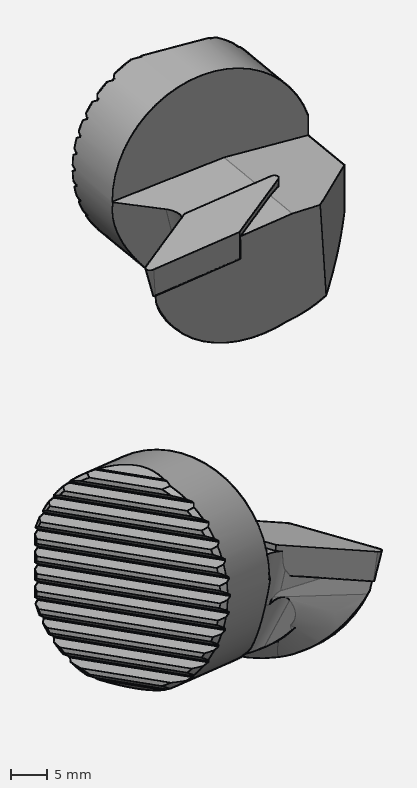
import cadquery as cq
import math

disc_radius = 16.0
disc_back_x = 11.88
flat_y = 15.1
rim_chamfer = 0.75

tooth_count = 12
tooth_pitch = 2.498
groove_depth = 1.4
groove_root_half = 0.092
groove_flank_angle = 30.0
edge_bevel_depth = 2.9

fold_y = 1.75
fold_z = 2.15
top_tilt = 7.4
end_x = 30.97
end_angle = 4.3
end_relief = 7.1
corner_cut = 8.75
corner_x = 22.0

wing_center_y = -3.5
wing_center_z = 1.48
wing_radius = 18.25
cone_apex_x = 19.72
cone_axis_y = -5.0
cone_axis_z = -6.3
heel_start_x = 25.97
heel_slope = 1.1
heel_angle = 57.0

insert_rise = 0.92
insert_thickness = 4.6
insert_corner = (22.57, -10.6)
insert_side_length = 16.45
insert_side_angle = 93.2
insert_edge_length = 16.43
insert_edge_angle = -52.0
insert_tip_radius = 0.75
insert_relief = 7.0

gullet_floor_x = 20.9
gullet_floor_y = -10.3
gullet_radius = 4.07
gullet_wall_angles = (36.8, 48.7)
gullet_lean = 13.3

lower_gullet_floor_x = 21.35
lower_gullet_floor_y = -12.85
lower_gullet_radius = 3.8
lower_gullet_wall_angles = (39.0, 63.0)
lower_gullet_lean = 29.3

reach = 55.5


def tilted_plane(rise):
    """Plane parallel to the sloping arm face; its origin lies on X = 0 at the fold line."""
    tilt = math.radians(top_tilt)
    return cq.Plane(
        origin=(0, fold_y, fold_z + rise),
        xDir=(1, 0, 0),
        normal=(0, -math.sin(tilt), math.cos(tilt)),
    )


def on_tilted_plane(point):
    """Plan position (X, Y) in the local coordinates of the tilted plane."""
    return (point[0], (point[1] - fold_y) / math.cos(math.radians(top_tilt)))


def step(point, length, angle):
    """Point at a distance and direction from another one."""
    return (
        point[0] + length * math.cos(math.radians(angle)),
        point[1] + length * math.sin(math.radians(angle)),
    )


def make_flat_trim():
    """Everything on the body side of the flat."""
    return cq.Workplane("XY").box(2 * reach, reach, 2 * reach).translate((0, flat_y - reach / 2, 0))


def make_disc():
    disc = cq.Workplane("YZ").circle(disc_radius).extrude(disc_back_x)
    return disc.intersect(make_flat_trim()).faces("<X").chamfer(rim_chamfer)


def make_serrations():
    """Grooves between the teeth, plus the bevels outside the outermost teeth."""
    flank_run = groove_depth * math.tan(math.radians(groove_flank_angle))
    mouth_half = groove_root_half + flank_run
    groove = (
        cq.Workplane("XZ")
        .polyline([
            (0, -mouth_half),
            (groove_depth, -groove_root_half),
            (groove_depth, groove_root_half),
            (0, mouth_half),
        ])
        .close()
        .extrude(reach, both=True)
    )
    last_groove = tooth_count // 2
    edge_z = last_groove * tooth_pitch
    bevel = (
        cq.Workplane("XZ")
        .polyline([
            (0, edge_z - mouth_half),
            (groove_depth, edge_z - groove_root_half),
            (groove_depth, edge_z + groove_root_half),
            (edge_bevel_depth, disc_radius),
            (0, disc_radius),
        ])
        .close()
        .extrude(reach, both=True)
    )
    tool = bevel.union(bevel.mirror("XY"))
    for index in range(1 - last_groove, last_groove):
        tool = tool.union(groove.translate((0, 0, index * tooth_pitch)))
    return tool


def make_gullet(floor_x, floor_y, radius, wall_angles, lean):
    """Rounded V groove open toward -Y, cut through along an axis leaning toward +Y as it goes down."""
    left, right = (math.radians(angle) for angle in wall_angles)
    left_tangent = (floor_x - radius * math.sin(left), radius * math.cos(left) - radius)
    right_tangent = (floor_x + radius * math.sin(right), radius * math.cos(right) - radius)
    tilt = math.radians(lean)
    section = cq.Plane(
        origin=(0, floor_y, 0),
        xDir=(1, 0, 0),
        normal=(0, -math.sin(tilt), math.cos(tilt)),
    )
    return (
        cq.Workplane(section)
        .moveTo(*step(left_tangent, reach, 180 + wall_angles[0]))
        .lineTo(*left_tangent)
        .threePointArc((floor_x, 0), right_tangent)
        .lineTo(*step(right_tangent, reach, -wall_angles[1]))
        .close()
        .extrude(reach, both=True)
    )


def make_top_trim():
    """Everything under the folded top of the arm."""
    drop = (reach + fold_y) * math.tan(math.radians(top_tilt))
    return (
        cq.Workplane("YZ")
        .polyline([
            (-reach, fold_z - drop),
            (fold_y, fold_z),
            (reach, fold_z),
            (reach, -reach),
            (-reach, -reach),
        ])
        .close()
        .extrude(reach)
    )


def make_end_trim():
    """Everything behind the relieved end face and the cut corner."""
    across = math.tan(math.radians(end_angle))
    front_x = end_x + across * (reach + fold_y)
    corner_y = flat_y - corner_cut
    plan = [
        (-reach, -reach),
        (front_x, -reach),
        (end_x - across * (corner_y - fold_y), corner_y),
        (corner_x, flat_y),
        (-reach, flat_y),
    ]
    corner_trim = cq.Workplane("XY", origin=(0, 0, -reach)).polyline(plan).close().extrude(2 * reach)
    end_plane = cq.Plane(
        origin=(end_x, fold_y, fold_z),
        xDir=(-across, 1, 0),
        normal=(1, across, -math.tan(math.radians(end_relief))),
    )
    ahead = cq.Workplane(end_plane).rect(4 * reach, 4 * reach).extrude(reach)
    return corner_trim.cut(ahead)


def insert_vertices():
    near = insert_corner
    rear_tip = step(near, insert_side_length, insert_side_angle)
    far = step(rear_tip, insert_edge_length, insert_edge_angle)
    front_tip = step(near, insert_edge_length, insert_edge_angle)
    return near, rear_tip, far, front_tip


def make_insert():
    """Rhombic cutting insert with relieved sides and rounded tips."""
    vertices = [on_tilted_plane(point) for point in insert_vertices()]
    plate = cq.Workplane("XY").polyline(vertices).close().extrude(0.37)
    tips = plate.edges("|Z").edges(">Y or <Y").fillet(insert_tip_radius)
    outline = tips.faces("<Z").wires().val().moved(cq.Location(tilted_plane(insert_rise)))
    return (
        cq.Workplane(tilted_plane(insert_rise))
        .add(outline)
        .toPending()
        .extrude(-insert_thickness, taper=insert_relief)
    )


def make_half_cone(apex_x, slope):
    """Lower half of a cone about the X axis, opening toward +X."""
    length = reach - apex_x
    return (
        cq.Workplane("XY")
        .polyline([(apex_x, 0), (reach, 0), (reach, -length * slope)])
        .close()
        .revolve(180, (0, 0, 0), (1, 0, 0))
    )


def make_wing():
    """Round backing of the insert, with its flank parallel to the cutting edge."""
    outline = (
        cq.Workplane("YZ")
        .center(wing_center_y, wing_center_z)
        .circle(wing_radius)
        .extrude(reach)
    )
    flank_slope = math.tan(math.radians(-insert_edge_angle))
    foot = make_half_cone(cone_apex_x, flank_slope).translate((0, cone_axis_y, cone_axis_z))
    flank_end_y = cone_axis_y - flank_slope * (reach - cone_apex_x)
    flank = (
        cq.Workplane("XY", origin=(0, 0, cone_axis_z))
        .polyline([(cone_apex_x, cone_axis_y), (reach, cone_axis_y), (reach, flank_end_y)])
        .close()
        .extrude(-cone_axis_z)
    )
    below = (
        cq.Workplane("XY")
        .box(4 * reach, 4 * reach, reach)
        .translate((0, 0, -reach / 2))
        .rotate((0, 0, 0), (1, 0, 0), heel_angle)
    )
    heel = make_half_cone(heel_start_x - disc_radius / heel_slope, heel_slope).intersect(below)
    return outline.intersect(foot.union(flank)).union(outline.intersect(heel))


gullet = make_gullet(gullet_floor_x, gullet_floor_y, gullet_radius, gullet_wall_angles, gullet_lean)
lower_gullet = make_gullet(
    lower_gullet_floor_x,
    lower_gullet_floor_y,
    lower_gullet_radius,
    lower_gullet_wall_angles,
    lower_gullet_lean,
)

arm = cq.Workplane("YZ", origin=(disc_back_x, 0, 0)).circle(disc_radius).extrude(reach)
arm = arm.intersect(make_flat_trim())
arm = arm.cut(gullet)
arm = arm.union(make_wing())
arm = arm.intersect(make_top_trim()).intersect(make_end_trim())

result = make_disc().cut(make_serrations()).cut(gullet).union(arm)
result = result.cut(lower_gullet).union(make_insert())